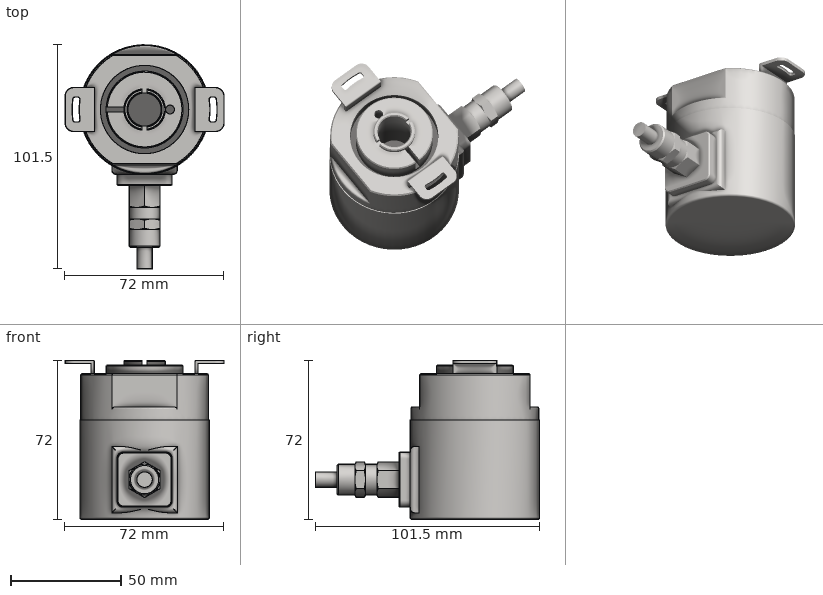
import cadquery as cq
import math

base_radius = 29.35
base_height = 45.0
base_edge = 1.0
cap_radius = 29.0
cap_top = 66.0
cap_edge = 0.6
flats_width = 50.0
ledge_height = 50.9
ledge_edge = 0.9

recess_radius = 20.0
recess_depth = 6.0
recess_floor = cap_top - recess_depth
collar_radius = 17.4
collar_top = 69.9
collar_edge = 0.5
collar_slot_depth = 8.0
collar_slot_width = 2.2
screw_hole_radius = 2.0
screw_hole_x = 11.5
shaft_radius = 9.4
shaft_top = 72.0
shaft_edge = 0.5
shaft_slot_width = 2.1
bore_radius = 7.5
bore_depth = 30.0

bracket_reach = 36.0
bracket_width = 20.0
bracket_thickness = 1.5
bracket_top = shaft_top
leg_inner_x = 22.75
bend_radius = 0.7
tab_corner_radius = 4.0
bracket_slot_mid_radius = 31.2
bracket_slot_width = 3.1
bracket_slot_length = 11.2
bracket_slot_corner = 0.9

outlet_z = 18.0
pad_width = 29.7
pad_height = 30.0
pad_front = base_radius
pad_edge = 2.0
pad_back = 25.2
block_size = 25.0
block_front = 34.4
block_corner = 3.0
block_edge = 0.5
hex_across_flats = 14.0
hex_chamfer = 0.6
gland_radius = 7.0
hex_end = 44.3
nut_start = 49.5
nut_end = 54.3
gland_end = 62.4
gland_edge = 0.6
cable_radius = 3.5
cable_end = 72.15


def cylinder(radius, bottom, top):
    return cq.Workplane("XY").workplane(offset=bottom).circle(radius).extrude(top - bottom)


def outlet_plane(distance):
    """Plane facing -Y on the outlet axis, at a distance from the encoder axis."""
    return cq.Workplane("XZ", origin=(0, -distance, outlet_z))


def housing():
    base = cylinder(base_radius, 0, base_height).faces("<Z").edges().fillet(base_edge)
    ledge = cylinder(cap_radius, base_height, ledge_height).faces(">Z").edges().fillet(ledge_edge)
    slab = cq.Workplane("XY").box(2 * cap_radius, flats_width, cap_top, centered=(True, True, False))
    cap = cylinder(cap_radius, base_height, cap_top).intersect(slab)
    cap = cap.faces(">Z").edges().chamfer(cap_edge)
    recess = cylinder(recess_radius, recess_floor, cap_top)
    return base.union(ledge).union(cap).cut(recess)


def collar():
    ring = cylinder(collar_radius, recess_floor, collar_top).faces(">Z").edges().chamfer(collar_edge)
    slot_floor = collar_top - collar_slot_depth
    slot = cq.Workplane("XY", origin=(-collar_radius / 2, 0, slot_floor)).box(
        collar_radius, collar_slot_width, collar_slot_depth, centered=(True, True, False)
    )
    screw_hole = cylinder(screw_hole_radius, recess_floor, collar_top).translate((screw_hole_x, 0, 0))
    return ring.cut(slot).cut(screw_hole)


def shaft():
    sleeve = cylinder(shaft_radius, recess_floor, shaft_top)
    sleeve = sleeve.cut(cylinder(bore_radius, recess_floor, shaft_top))
    sleeve = sleeve.faces(">Z").edges().chamfer(shaft_edge)
    slot = cq.Workplane("XY").workplane(offset=collar_top).rect(shaft_slot_width, 2 * shaft_radius)
    return sleeve.cut(slot.extrude(shaft_top - collar_top))


def bracket():
    """Angle bracket on the +X side: upright leg and outward tab with a curved slot."""
    tab_length = bracket_reach - leg_inner_x
    tab = cq.Workplane("XY", origin=(leg_inner_x, 0, bracket_top - bracket_thickness)).box(
        tab_length, bracket_width, bracket_thickness, centered=(False, True, False)
    )
    leg = cq.Workplane("XY", origin=(leg_inner_x, 0, cap_top)).box(
        bracket_thickness, bracket_width, bracket_top - cap_top, centered=(False, True, False)
    )
    angle = tab.union(leg)
    angle = angle.edges("|Z and >X").fillet(tab_corner_radius)
    angle = angle.edges("|Y and >Z and <X").fillet(bend_radius)

    half_width = bracket_slot_width / 2
    slot_ring = cylinder(bracket_slot_mid_radius + half_width, cap_top, bracket_top)
    slot_ring = slot_ring.cut(cylinder(bracket_slot_mid_radius - half_width, cap_top, bracket_top))
    slot_span = cq.Workplane("XY", origin=(0, 0, cap_top)).box(
        bracket_reach, bracket_slot_length, bracket_top - cap_top, centered=(False, True, False)
    )
    slot = slot_ring.intersect(slot_span).edges("|Z").fillet(bracket_slot_corner)
    return angle.cut(slot)


def outlet_pad():
    pad = outlet_plane(pad_back).rect(pad_width, pad_height).extrude(pad_front - pad_back)
    return pad.faces("<Y").edges().fillet(pad_edge)


def outlet_block():
    block = outlet_plane(pad_back).rect(block_size, block_size).extrude(block_front - pad_back)
    return block.edges("|Y").fillet(block_corner).faces("<Y").edges().chamfer(block_edge)


def hex_section(start, end, chamfered_faces):
    """Hexagon along the outlet, corners up and down, turned to the gland radius at the chosen ends."""
    corner_radius = hex_across_flats / math.sqrt(3)
    prism = outlet_plane(start).transformed(rotate=(0, 0, 90)).polygon(6, 2 * corner_radius)
    prism = prism.extrude(end - start)
    envelope = outlet_plane(start).circle(corner_radius).extrude(end - start)
    envelope = envelope.faces(chamfered_faces).edges().chamfer(hex_chamfer, corner_radius - gland_radius)
    return prism.intersect(envelope)


def cable_gland():
    barrel = outlet_plane(block_front).circle(gland_radius).extrude(gland_end - block_front)
    barrel = barrel.faces("<Y").edges().chamfer(gland_edge)
    cable = outlet_plane(block_front).circle(cable_radius).extrude(cable_end - block_front)
    return barrel.union(cable)


bore = cylinder(bore_radius, shaft_top - bore_depth, shaft_top)
collar_seat = cylinder(shaft_radius, recess_floor, shaft_top)

result = housing().union(collar().cut(collar_seat)).union(shaft()).cut(bore)
right_bracket = bracket()
result = result.union(right_bracket).union(right_bracket.mirror("YZ"))
for outlet_part in (
    outlet_pad(),
    outlet_block(),
    hex_section(block_front, hex_end, "<Y"),
    hex_section(nut_start, nut_end, "<Y or >Y"),
    cable_gland(),
):
    result = result.union(outlet_part)